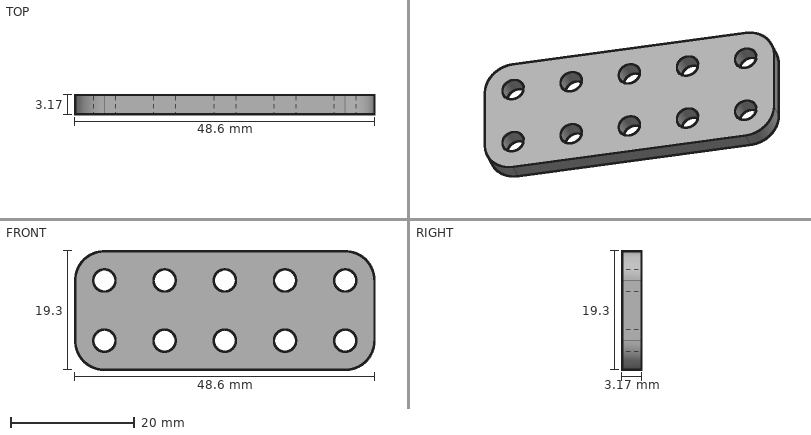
import cadquery as cq

hole_columns = 5
hole_rows = 2
hole_pitch = 9.779
hole_diameter = 3.572
corner_radius = 4.7625
thickness = 3.175

length = (hole_columns - 1) * hole_pitch + 2 * corner_radius
height = (hole_rows - 1) * hole_pitch + 2 * corner_radius


def make_plate():
    """Plate standing in the XZ plane, centred on the origin."""
    plate = cq.Workplane("XY").box(length, thickness, height)
    return plate.edges("|Y").fillet(corner_radius)


def drill_holes(plate):
    """Grid of through holes along Y."""
    return (
        plate.faces("<Y")
        .workplane(centerOption="CenterOfBoundBox")
        .rarray(hole_pitch, hole_pitch, hole_columns, hole_rows)
        .hole(hole_diameter)
    )


result = drill_holes(make_plate())